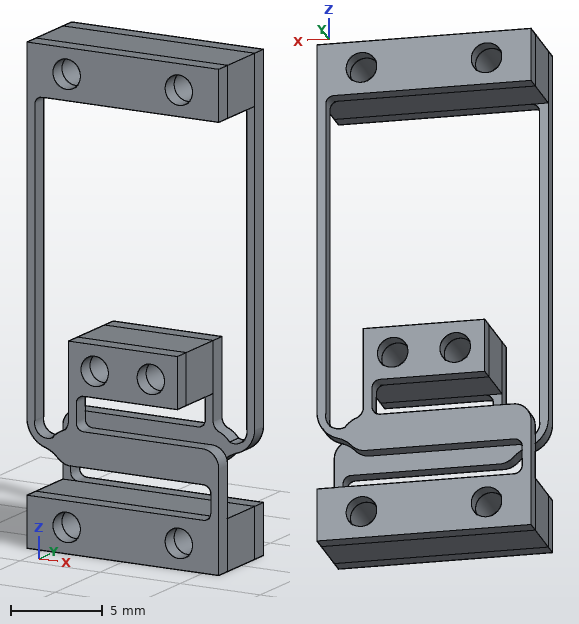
import cadquery as cq

width = 12.0
depth = 5.0
height = 28.5

plate_thickness = 1.0
spacer_depth = depth - 2 * plate_thickness

block_height = 3.0
slot_height = 2.0
bar_height = 2.02
slot_top = block_height + slot_height
bar_top = slot_top + bar_height
pad_bottom = bar_top + slot_height
pad_top = pad_bottom + block_height
top_block_bottom = height - block_height

strut_width = plate_thickness / 2
pad_width = 6.8
left = -width / 2
right = width / 2
pad_left = -pad_width / 2
pad_right = pad_width / 2

fillet_radius = 0.45
bar_corner_radius = plate_thickness

hole_diameter = 1.7
block_hole_spacing = 7.0
pad_hole_spacing = 3.5

hook_start = 7.27
hook_outside = [
    (0.43, 6.27), (1.17, 5.8),
    (1.6, 5.61), (1.9, 5.35),
    (2.2, 5.13), (2.62, slot_top),
]
hook_inside = [
    (2.45, 7.07), (2.15, 6.87),
    (1.82, 6.67), (1.57, 6.4),
    (0.75, 6.55), (strut_width, hook_start),
]
pad_strut_end = 7.38


def add_arcs(outline, points):
    """Continue an outline with arcs given by their middle and end points."""
    for middle, end in zip(points[::2], points[1::2]):
        outline = outline.threePointArc((left + middle[0], middle[1]), (left + end[0], end[1]))
    return outline


def round_edge(plate, x, z, radius):
    """Round the through-thickness edge of the plate at (x, z)."""
    margin = 0.03
    selector = cq.selectors.BoxSelector(
        (x - margin, -depth, z - margin), (x + margin, depth, z + margin)
    )
    return plate.edges("|Y").edges(selector).fillet(radius)


def drill_hole_pair(body, spacing, z):
    """Drill two holes along Y, symmetric about X = 0."""
    drills = (
        cq.Workplane("XZ", origin=(0, 0, z))
        .pushPoints([(-spacing / 2, 0), (spacing / 2, 0)])
        .circle(hole_diameter / 2)
        .extrude(depth, both=True)
    )
    return body.cut(drills)


def make_flexure_plate():
    """Front plate: three blocks linked by thin struts and the middle bar."""
    outline = cq.Workplane("XZ", origin=(0, plate_thickness - depth / 2, 0)).moveTo(left, hook_start)
    outline = add_arcs(outline, hook_outside)
    outline = (
        outline.lineTo(right - strut_width, slot_top)
        .lineTo(right - strut_width, block_height)
        .lineTo(left, block_height)
        .lineTo(left, 0)
        .lineTo(right, 0)
        .lineTo(right, bar_top)
        .lineTo(pad_left + strut_width, bar_top)
        .lineTo(pad_left + strut_width, pad_bottom)
        .lineTo(pad_right, pad_bottom)
        .lineTo(pad_right, pad_top)
        .lineTo(pad_left, pad_top)
        .lineTo(pad_left, pad_strut_end)
    )
    outline = add_arcs(outline, hook_inside)
    plate = (
        outline.lineTo(left + strut_width, top_block_bottom)
        .lineTo(right, top_block_bottom)
        .lineTo(right, height)
        .lineTo(left, height)
        .close()
        .extrude(plate_thickness)
    )

    inner_corners = [
        (right - strut_width, slot_top),
        (right - strut_width, block_height),
        (pad_left + strut_width, bar_top),
        (pad_left + strut_width, pad_bottom),
        (left + strut_width, top_block_bottom),
    ]
    for x, z in inner_corners:
        plate = round_edge(plate, x, z, fillet_radius)
    plate = round_edge(plate, right, bar_top, bar_corner_radius)

    for bottom in (0, top_block_bottom):
        plate = drill_hole_pair(plate, block_hole_spacing, bottom + block_height / 2)
    return drill_hole_pair(plate, pad_hole_spacing, pad_bottom + block_height / 2)


def make_spacer(spacer_width, bottom, hole_spacing):
    """Drilled block that fills the gap between the two plates."""
    middle = bottom + block_height / 2
    block = cq.Workplane("XY", origin=(0, 0, middle)).box(spacer_width, spacer_depth, block_height)
    return drill_hole_pair(block, hole_spacing, middle)


flexure_plates = [
    make_flexure_plate().rotate((0, 0, 0), (0, 0, 1), angle)
    for angle in (0, 180)
]

end_spacers = [
    make_spacer(width, bottom, block_hole_spacing)
    for bottom in (0, top_block_bottom)
]

pad_spacer = make_spacer(pad_width, pad_bottom, pad_hole_spacing)

result = cq.Compound.makeCompound(
    [body.val() for body in (*flexure_plates, *end_spacers, pad_spacer)]
)